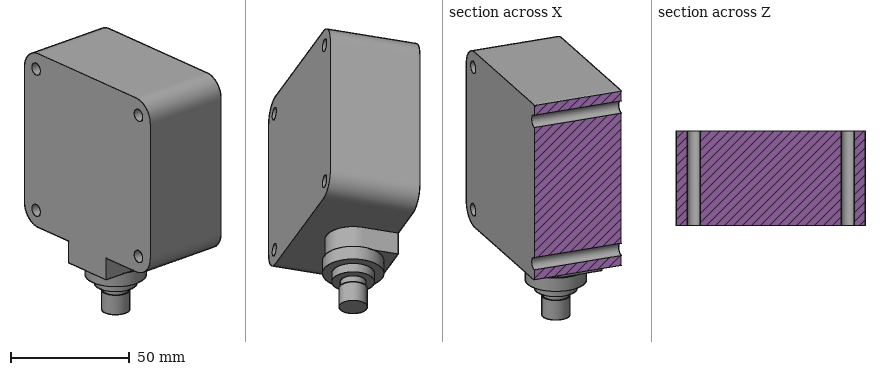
import cadquery as cq

total_height = 112.0
housing_side = 80.0
housing_depth = 40.0
corner_radius = 9.0

hole_diameter = 5.4
hole_spacing = 65.0

outlet_width = 24.0
outlet_height = 10.0
connector_y = 16.0

collar_diameter = 26.0
collar_height = 6.0
shoulder_diameter = 18.0
shoulder_height = 4.0
groove_diameter = 11.0
groove_height = 3.0
plug_diameter = 12.0
plug_height = total_height - housing_side - outlet_height - collar_height - shoulder_height - groove_height

housing_bottom = -housing_side / 2


def make_housing():
    block = cq.Workplane("XY").box(housing_side, housing_depth, housing_side, centered=(True, False, True))
    block = block.edges("|Y").fillet(corner_radius)
    holes = (
        cq.Workplane("XZ")
        .rect(hole_spacing, hole_spacing, forConstruction=True)
        .vertices()
        .circle(hole_diameter / 2)
        .extrude(-housing_depth)
    )
    return block.cut(holes)


def make_outlet():
    radius = outlet_width / 2
    return (
        cq.Workplane("XY", origin=(0, 0, housing_bottom))
        .moveTo(-radius, 0)
        .lineTo(radius, 0)
        .lineTo(radius, connector_y)
        .threePointArc((0, connector_y + radius), (-radius, connector_y))
        .close()
        .extrude(-outlet_height)
    )


def make_connector():
    steps = [
        (collar_diameter, collar_height),
        (shoulder_diameter, shoulder_height),
        (groove_diameter, groove_height),
        (plug_diameter, plug_height),
    ]
    connector = cq.Workplane("XY")
    step_top = housing_bottom - outlet_height
    for diameter, height in steps:
        step = cq.Workplane("XY", origin=(0, connector_y, step_top)).circle(diameter / 2).extrude(-height)
        connector = connector.add(step)
        step_top -= height
    return connector.combine()


result = make_housing().union(make_outlet()).union(make_connector())